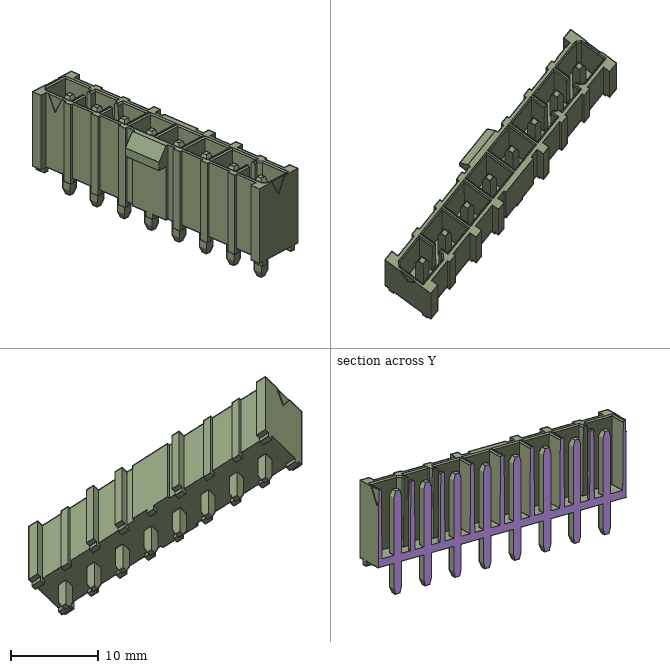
import cadquery as cq
import math


pin_count = 8
pitch = 4.202
length = 34.87
half_length = length / 2
end_pin_x = pitch * (pin_count - 1) / 2

height = 9.7
wall_y = 2.425
rib_y = 2.737
post_y = 3.3
post_width = 1.308
rib_width = 1.05
panel_width = 5.15
centre = pin_count // 2
front_ribs = (1, 2, 3, 5, 6, 7)
back_low_ribs = (1, 2, 7)
back_tall_ribs = (3, 5, 6)

foot_height = 0.63
foot_inner_y = 2.1
centre_foot_width = 0.98

latch_reach = 3.95
latch_slope_drop = 1.67
latch_bottom_drop = 2.75

floor_thickness = 1.05
lead_in = 0.17
draft = 0.087
mouth_y = 2.005
partition_top = 0.2
end_wall_top = 0.28
front_corner_cut = 0.52
back_corner_cut = 0.55
throat_z = height - lead_in
cavity_depth = throat_z - floor_thickness
draft_angle = math.degrees(math.atan(draft / cavity_depth))

open_partitions = (1, 2, 7)
opening_front_y = 0.052
opening_back_y = 0.995

block_step = 0.28
block_width = 0.25

pin_width = 1.1
tip_width = 0.63
tip_length = 0.75
pin_top = 9.0
pin_bottom = -3.9

mark_height = 2.02
front_mark_width = 2.02
front_mark_relief = 0.052
end_mark_width = 2.23
end_mark_depth = 0.087


def block(x_min, x_max, y_min, y_max, z_min, z_max):
    """Box between two opposite corners."""
    size = (x_max - x_min, y_max - y_min, z_max - z_min)
    return cq.Workplane("XY").box(*size, centered=False).translate((x_min, y_min, z_min))


def pin_x(number):
    """X of a pin, counted from 1."""
    return (number - 1) * pitch - end_pin_x


def partition_x(number):
    """X of the partition that follows the pin of the same number."""
    return pin_x(number) + pitch / 2


def rib(number, width, y_min, y_max, z_min, z_max):
    """Upright bar centred on a partition."""
    x = partition_x(number)
    return block(x - width / 2, x + width / 2, y_min, y_max, z_min, z_max)


def make_shell():
    """Solid housing with its ribs, end posts and latch panel."""
    shell = block(-half_length, half_length, -wall_y, wall_y, 0, height)
    post_inner_x = half_length - post_width
    shell = shell.union(block(-half_length, -post_inner_x, -post_y, post_y, 0, height))
    shell = shell.union(block(post_inner_x, half_length, -post_y, post_y, 0, height))
    for number in front_ribs:
        shell = shell.union(rib(number, rib_width, -rib_y, 0, 0, height))
    for number in back_low_ribs:
        shell = shell.union(rib(number, rib_width, 0, rib_y, 0, height))
    for number in back_tall_ribs:
        shell = shell.union(rib(number, rib_width, 0, post_y, 0, height))
    return shell.union(rib(centre, panel_width, -rib_y, rib_y, 0, height))


def make_feet():
    """Feet under the partitions and the end posts, along both long sides."""
    feet = cq.Workplane("XY")
    post_inner_x = half_length - post_width
    for y_min, y_max in ((-rib_y, -foot_inner_y), (foot_inner_y, rib_y)):
        feet = feet.union(block(-half_length, -post_inner_x, y_min, y_max, -foot_height, 0))
        feet = feet.union(block(post_inner_x, half_length, y_min, y_max, -foot_height, 0))
        for number in range(1, pin_count):
            width = centre_foot_width if number == centre else rib_width
            feet = feet.union(rib(number, width, y_min, y_max, -foot_height, 0))
    return feet


def make_latch():
    """Wedge-topped catch that juts out from the front panel."""
    profile = [
        (-rib_y, height),
        (-latch_reach, height - latch_slope_drop),
        (-latch_reach, height - latch_bottom_drop),
        (-rib_y, height - latch_bottom_drop),
    ]
    latch = cq.Workplane("YZ").polyline(profile).close().extrude(panel_width / 2, both=True)
    return latch.translate((partition_x(centre), 0, 0))


def make_cavity(number):
    """Drafted cavity with a 45 degree lead-in; the two end cavities have cut corners."""
    left = partition_x(number - 1) + partition_top / 2
    right = partition_x(number) - partition_top / 2
    if number == 1:
        left = -half_length + end_wall_top
    if number == pin_count:
        right = half_length - end_wall_top
    back = mouth_y
    front = -mouth_y
    outline = [(left, front), (right, front), (right, back), (left, back)]
    if number == 1:
        outline = [
            (left + front_corner_cut, front),
            (right, front),
            (right, back - back_corner_cut),
            (right - back_corner_cut, back),
            (left, back),
            (left, front + front_corner_cut),
        ]
    if number == pin_count:
        outline = [
            (left, front),
            (right - front_corner_cut, front),
            (right, front + front_corner_cut),
            (right, back),
            (left + back_corner_cut, back),
            (left, back - back_corner_cut),
        ]
    top = cq.Workplane("XY").workplane(offset=height)
    mouth = top.polyline(outline).close().extrude(-lead_in, taper=45)
    throat = mouth.faces("<Z").wires().toPending().workplane()
    return throat.extrude(cavity_depth, taper=draft_angle)


def make_opening(number):
    """Slot through a partition, down to the cavity floor."""
    return rib(number, pitch / 4, opening_front_y, opening_back_y, floor_thickness, height)


def make_corner_block():
    """Full-height block that fills the back right corner of the second cavity."""
    right = partition_x(2)
    left = right - partition_top / 2 - lead_in - block_width
    throat_back = mouth_y - lead_in
    step_y = throat_back - block_step
    outline = [
        (left, mouth_y),
        (left, step_y),
        (left + block_width, step_y - block_width),
        (right, step_y - block_width),
        (right, mouth_y),
    ]
    base = cq.Workplane("XY").workplane(offset=floor_thickness)
    return base.polyline(outline).close().extrude(height - floor_thickness)


def make_pin(number):
    """Square pin with both ends tapered."""
    half_width = pin_width / 2
    shank_top = pin_top - tip_length
    shank_bottom = pin_bottom + tip_length
    taper = math.degrees(math.atan((pin_width - tip_width) / 2 / tip_length))
    pin = block(-half_width, half_width, -half_width, half_width, shank_bottom, shank_top)
    for end in (">Z", "<Z"):
        pin = pin.faces(end).workplane().rect(pin_width, pin_width).extrude(tip_length, taper=taper)
    return pin.translate((pin_x(number), 0, 0))


def make_mark(plane, centre_line, width, thickness):
    """Triangle that hangs from the top edge, thickened to both sides of its plane."""
    outline = [
        (centre_line - width / 2, height),
        (centre_line + width / 2, height),
        (centre_line, height - mark_height),
    ]
    return cq.Workplane(plane).polyline(outline).close().extrude(thickness, both=True)


housing = make_shell().union(make_feet()).union(make_latch())

for number in range(1, pin_count + 1):
    housing = housing.cut(make_cavity(number))
housing = housing.union(make_corner_block())
for number in open_partitions:
    housing = housing.cut(make_opening(number))

front_mark = make_mark("XZ", pin_x(1), front_mark_width, front_mark_relief)
housing = housing.union(front_mark.translate((0, -wall_y, 0)))
end_mark = make_mark("YZ", 0, end_mark_width, end_mark_depth)
for end_x in (-half_length, half_length):
    housing = housing.cut(end_mark.translate((end_x, 0, 0)))

for number in range(1, pin_count + 1):
    housing = housing.union(make_pin(number))

result = housing